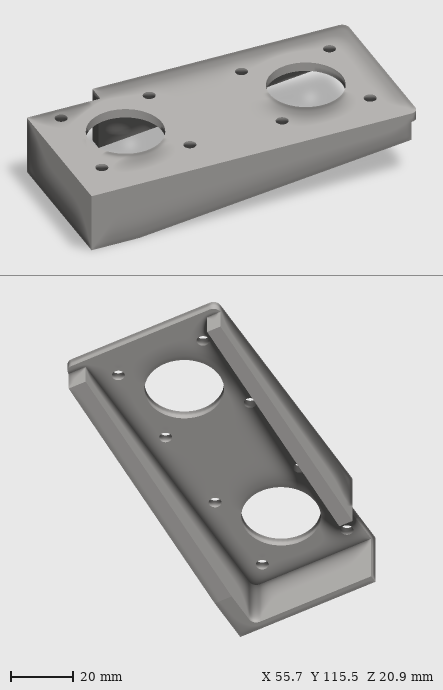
import cadquery as cq

width = 55.7
length = 115.5
height = 20.9

plate_thickness = 3.2
front_wall_thickness = 2.8
left_wall_thickness = 4.8
right_wall_thickness = 6.2
corner_radius = 2.5
inner_fillet_radius = 2.5

notch_width = 6.1
notch_length = 26.0

full_depth_length = 16.9
wall_back_height = 10.2
wall_back_y = length - corner_radius

motor_x = 26.5
front_motor_y = 25.4
motor_spacing = 63.6
motor_opening_diameter = 25.5
screw_pitch = 31.1
screw_hole_diameter = 4.2


def box(x_min, y_min, z_min, x_max, y_max, z_max):
    size = (x_max - x_min, y_max - y_min, z_max - z_min)
    return cq.Workplane("XY").box(*size, centered=False).translate((x_min, y_min, z_min))


def make_plate():
    plate = box(0, 0, height - plate_thickness, width, length, height)
    return plate.edges("|Z and >Y").fillet(corner_radius)


def make_walls():
    """Front and side walls, with the side walls' lower edges rising toward the back."""
    side_profile = (
        cq.Workplane("YZ")
        .polyline([
            (0, 0),
            (full_depth_length, 0),
            (wall_back_y, height - wall_back_height),
            (wall_back_y, height),
            (0, height),
        ])
        .close()
        .extrude(width)
    )
    cavity = box(
        left_wall_thickness, front_wall_thickness, 0,
        width - right_wall_thickness, length, height - plate_thickness,
    )
    cavity = cavity.edges("|Z and <Y and >X").fillet(inner_fillet_radius)
    return side_profile.cut(cavity)


def make_motor_holes(center_y):
    """Cutters for one motor opening and its four screw holes."""
    base = cq.Workplane("XY").center(motor_x, center_y)
    opening = base.circle(motor_opening_diameter / 2).extrude(height)
    screws = (
        base.rect(screw_pitch, screw_pitch, forConstruction=True)
        .vertices()
        .circle(screw_hole_diameter / 2)
        .extrude(height)
    )
    return opening.union(screws)


result = make_plate().union(make_walls())
result = result.cut(box(0, 0, 0, notch_width, notch_length, height))
for motor_index in range(2):
    result = result.cut(make_motor_holes(front_motor_y + motor_index * motor_spacing))